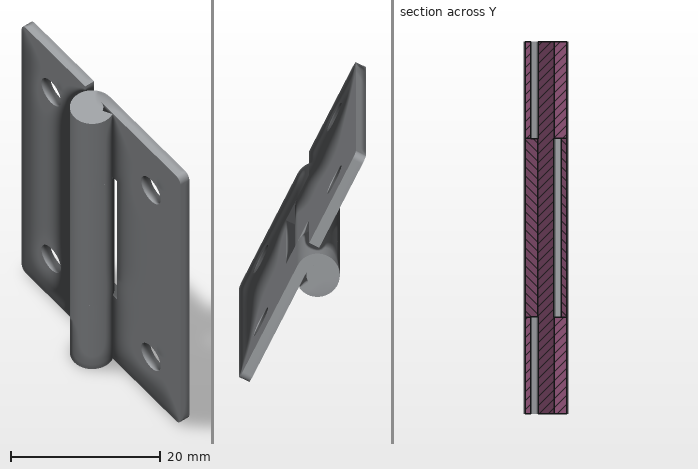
import cadquery as cq
import math

height = 50.0
width = 35.0
thickness = 1.5

pin_radius = 1.5
knuckle_radius = pin_radius + thickness
curl_end_angle = 28.0
middle_knuckle_height = 24.0
end_knuckle_height = (height - middle_knuckle_height) / 2
end_knuckle_center = (middle_knuckle_height + end_knuckle_height) / 2

half_width = width / 2
knuckle_clearance = 0.5
plate_inner_edge = knuckle_radius + knuckle_clearance
corner_radius = 1.0
hole_diameter = 4.3
hole_x = 11.0
hole_z = 17.0


def plate():
    """Flat plate on the +X side, with rounded outer corners and two screw holes."""
    plate_width = half_width - plate_inner_edge
    blank = (
        cq.Workplane("XY")
        .box(plate_width, thickness, height)
        .translate((plate_inner_edge + plate_width / 2, pin_radius + thickness / 2, 0))
        .edges("|Y and >X")
        .fillet(corner_radius)
    )
    holes = (
        cq.Workplane("XZ")
        .pushPoints([(hole_x, hole_z), (hole_x, -hole_z)])
        .circle(hole_diameter / 2)
        .extrude(-knuckle_radius)
    )
    return blank.cut(holes)


def polar(radius, degrees):
    """Point at a radius and an angle around the pin axis."""
    angle = math.radians(degrees)
    return (radius * math.cos(angle), radius * math.sin(angle))


def knuckle(center_z, knuckle_height):
    """Strip that leaves the plate and curls around the pin to a radial free end."""
    start_angle = 90.0
    middle_angle = (start_angle + 360.0 + curl_end_angle) / 2
    return (
        cq.Workplane("XY", origin=(0, 0, center_z - knuckle_height / 2))
        .moveTo(plate_inner_edge, knuckle_radius)
        .lineTo(0, knuckle_radius)
        .threePointArc(polar(knuckle_radius, middle_angle), polar(knuckle_radius, curl_end_angle))
        .lineTo(*polar(pin_radius, curl_end_angle))
        .threePointArc(polar(pin_radius, middle_angle), (0, pin_radius))
        .lineTo(plate_inner_edge, pin_radius)
        .close()
        .extrude(knuckle_height)
    )


def right_leaf():
    """Leaf on the +X side, carrying the two end knuckles."""
    leaf = plate()
    for center_z in (-end_knuckle_center, end_knuckle_center):
        leaf = leaf.union(knuckle(center_z, end_knuckle_height))
    return leaf.clean()


def left_leaf():
    """Leaf on the -X side, carrying the middle knuckle."""
    leaf = plate().union(knuckle(0, middle_knuckle_height))
    return leaf.clean().mirror("YZ")


def hinge_pin():
    """Plain pin through all three knuckles, flush with their outer ends."""
    return cq.Workplane("XY").circle(pin_radius).extrude(height / 2, both=True)


leaf_with_end_knuckles = right_leaf()
leaf_with_middle_knuckle = left_leaf()
pin = hinge_pin()

result = cq.Compound.makeCompound(
    [
        leaf_with_end_knuckles.solids().val(),
        leaf_with_middle_knuckle.solids().val(),
        pin.val(),
    ]
)